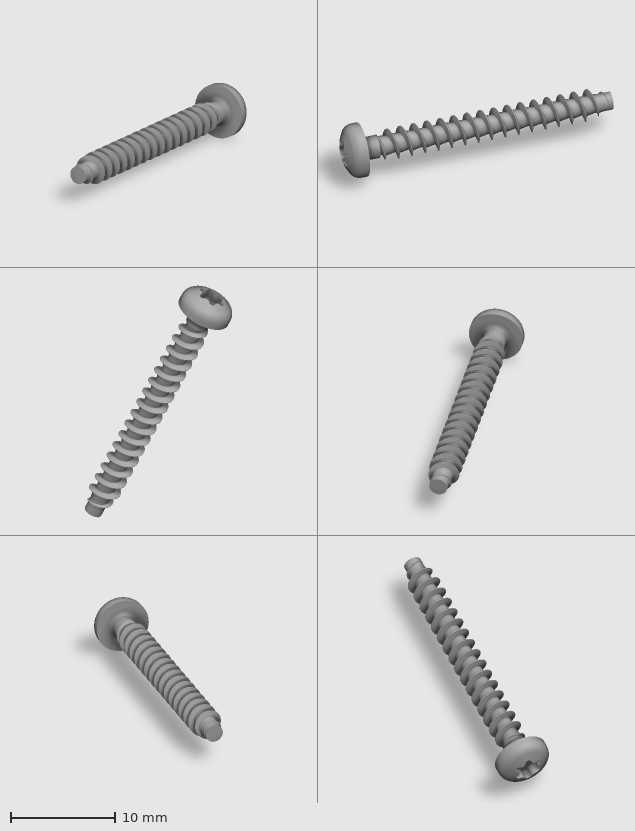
import cadquery as cq
import math


total_length = 26.97
head_diameter = 5.3
head_radius = head_diameter / 2
rim_height = 0.6
rim_arc_radius = 1.05
dome_radius = 4.05

lobe_count = 6
recess_tip_radius = 1.4
recess_valley_radius = 1.02
recess_depth = 1.08

shank_radius = 1.13
shank_length = 1.5
neck_fillet = 0.45
core_diameter = 1.75
core_radius = core_diameter / 2

thread_start_depth = 0.2
thread_turns = 18.3
thread_advance = 24.52
pitch = thread_advance / thread_turns
crest_radius = 1.55
crest_half_width = 0.032
flank_foot_half_width = 0.22
ramp_top_radius = 1.02
ramp_length = 0.9
thread_embed = 0.013
lead_in_turns = 2.0
lead_in_start_share = 0.2
run_out_turns = 1.4
run_out_exponent = 1.4
run_out_end_share = 0.05

segment_count = 36
steps_per_segment = 6

rim_center_radius = head_radius - rim_arc_radius
dome_center_y = rim_height - math.sqrt((dome_radius - rim_arc_radius) ** 2 - rim_center_radius**2)
dome_slope = math.asin(rim_center_radius / (dome_radius - rim_arc_radius))

head_height = dome_center_y + math.sqrt(dome_radius**2 - recess_valley_radius**2)
body_length = total_length - head_height


def arc_point(center_x, center_y, radius, angle_from_axis):
    """Point of a profile arc, with the angle measured from +Y."""
    x = center_x + radius * math.sin(angle_from_axis)
    y = center_y + radius * math.cos(angle_from_axis)
    return x, y


def make_headed_shank():
    """Head, neck fillet and shank as one revolved profile."""
    dome_top = (0, dome_center_y + dome_radius)
    dome_middle = arc_point(0, dome_center_y, dome_radius, dome_slope / 2)
    dome_end = arc_point(0, dome_center_y, dome_radius, dome_slope)
    rim_middle_angle = (dome_slope + math.pi / 2) / 2
    rim_middle = arc_point(rim_center_radius, rim_height, rim_arc_radius, rim_middle_angle)
    neck_center_x = shank_radius + neck_fillet
    neck_middle = arc_point(neck_center_x, -neck_fillet, neck_fillet, -math.pi / 4)
    profile = (
        cq.Workplane("XY")
        .moveTo(*dome_top)
        .threePointArc(dome_middle, dome_end)
        .threePointArc(rim_middle, (head_radius, rim_height))
        .lineTo(head_radius, 0)
        .lineTo(neck_center_x, 0)
        .threePointArc(neck_middle, (shank_radius, -neck_fillet))
        .lineTo(shank_radius, -shank_length)
        .lineTo(0, -shank_length)
        .close()
    )
    return profile.revolve(360, (0, 0, 0), (0, 1, 0))


def make_recess():
    """Six-lobe socket with one lobe toward +Z, cut down from above the dome."""
    lobe_angle = 2 * math.pi / lobe_count
    middle_radius = (recess_tip_radius + recess_valley_radius) / 2

    def at(radius, lobes):
        angle = lobes * lobe_angle
        return radius * math.sin(angle), radius * math.cos(angle)

    outline = cq.Workplane("XZ", origin=(0, head_height - recess_depth, 0))
    outline = outline.moveTo(*at(middle_radius, -0.25))
    for lobe in range(lobe_count):
        outline = outline.threePointArc(at(recess_tip_radius, lobe), at(middle_radius, lobe + 0.25))
        outline = outline.threePointArc(at(recess_valley_radius, lobe + 0.5), at(middle_radius, lobe + 0.75))
    return outline.close().extrude(-total_length)


def run_out_share(turn):
    """Share of the full section left at a turn: 1 until the run-out, fading out at the tip."""
    turns_left = min(run_out_turns, thread_turns - turn)
    fade = (turns_left / run_out_turns) ** run_out_exponent
    return run_out_end_share + (1 - run_out_end_share) * fade


def crest_share(turn):
    """Share of the full crest height at a turn: grows from inside the shank, fades at the tip."""
    lead_in = lead_in_start_share + (1 - lead_in_start_share) * turn / lead_in_turns
    return min(lead_in, run_out_share(turn))


def thread_corners(turn):
    """Corners of the thread section at a turn, each as (radius, offset toward the tip)."""
    share = run_out_share(turn)
    foot = core_radius - thread_embed
    crest = core_radius + crest_share(turn) * (crest_radius - core_radius)
    ramp_top = foot + share * (ramp_top_radius - foot)
    return [
        (foot, -share * flank_foot_half_width),
        (crest, -share * crest_half_width),
        (crest, share * crest_half_width),
        (ramp_top, share * flank_foot_half_width),
        (foot, share * (flank_foot_half_width + ramp_length)),
    ]


corner_count = len(thread_corners(0))


def thread_point(turn, corner):
    """Point of the right-handed helix that one corner of the thread section follows."""
    radius, offset = thread_corners(turn)[corner]
    angle = 2 * math.pi * turn
    depth = thread_start_depth + pitch * turn + offset
    return cq.Vector(-radius * math.sin(angle), -depth, radius * math.cos(angle))


def segment_faces(segment):
    """Faces of one stretch of the thread, each ruled between the helices of neighboring corners."""
    segment_turns = thread_turns / segment_count
    steps = range(steps_per_segment + 1)
    turns = [segment_turns * (segment + step / steps_per_segment) for step in steps]
    edges = []
    for corner in range(corner_count):
        edges.append(cq.Edge.makeSpline([thread_point(turn, corner) for turn in turns]))
    return [cq.Face.makeRuledSurface(edges[corner - 1], edges[corner]) for corner in range(corner_count)]


def end_face(turn):
    """Flat face that closes the thread at one of its ends."""
    section = [thread_point(turn, corner) for corner in range(corner_count)]
    return cq.Face.makeFromWires(cq.Wire.makePolygon(section, close=True))


def make_thread():
    """Thread ridge with a core ramp on its tip side."""
    faces = [end_face(0), end_face(thread_turns)]
    for segment in range(segment_count):
        faces.extend(segment_faces(segment))
    return cq.Workplane(cq.Solid.makeSolid(cq.Shell.makeShell(faces)))


def make_threaded_rod():
    """Core with its thread, trimmed flat at the end of the shank."""
    core = cq.Workplane("XZ").circle(core_radius).extrude(body_length)
    shank_zone = cq.Workplane("XZ").circle(head_radius).extrude(shank_length)
    return core.union(make_thread(), clean=False).cut(shank_zone, clean=False)


headed_shank = make_headed_shank().cut(make_recess())
screw = headed_shank.union(make_threaded_rod(), clean=False)
result = screw.solids()